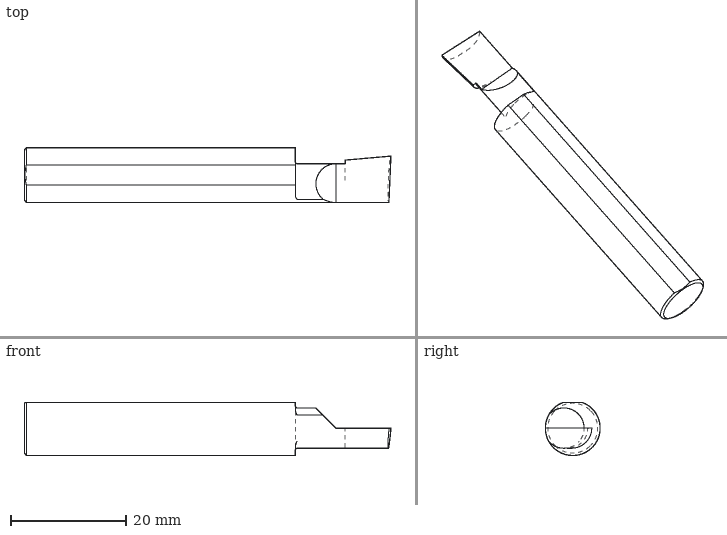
import cadquery as cq
import math

total_length = 63.5
shank_radius = 4.75
shank_length = 46.9
flat_height = 4.45
chamfer_length = 0.3
chamfer_depth = 0.45

neck_radius = 3.5
neck_center_y = -1.5
neck_fillet = 0.4

ramp_end_x = 54.0
ramp_angle = 45.0
blade_start_x = 55.55
blade_start_y = 2.6
tip_y = 3.3
end_clearance_angle = 2.5
end_relief_angle = 5.0


def cylinder(start_x, length, radius, center_y=0.0):
    return cq.Workplane("YZ", origin=(start_x, center_y, 0)).circle(radius).extrude(length)


def make_shank():
    chamfer_radius = shank_radius - chamfer_depth
    profile = [
        (0, 0),
        (0, chamfer_radius),
        (chamfer_length, shank_radius),
        (shank_length, shank_radius),
        (shank_length, 0),
    ]
    shank = cq.Workplane("XY").polyline(profile).close().revolve(360, (0, 0, 0), (1, 0, 0))
    above_flat = cq.Workplane("XY", origin=(0, 0, flat_height)).box(
        total_length, 2 * shank_radius, shank_radius, centered=(False, True, False)
    )
    return shank.cut(above_flat)


def make_neck():
    neck = cylinder(shank_length, total_length - shank_length, neck_radius, neck_center_y)
    flare = (
        cq.Workplane("XY", origin=(shank_length, neck_center_y, 0))
        .lineTo(0, neck_radius + neck_fillet)
        .radiusArc((neck_fillet, neck_radius), -neck_fillet)
        .lineTo(neck_fillet, 0)
        .close()
        .revolve(360, (0, 0, 0), (1, 0, 0))
    )
    return neck.union(flare)


def make_blade():
    start_center_y = blade_start_y - neck_radius
    tip_center_y = tip_y - neck_radius
    return (
        cq.Workplane("YZ", origin=(blade_start_x, start_center_y, 0))
        .circle(neck_radius)
        .workplane(offset=total_length - blade_start_x)
        .center(tip_center_y - start_center_y, 0)
        .circle(neck_radius)
        .loft(combine=True)
    )


def make_upper_cut():
    ramp_top_x = ramp_end_x - shank_radius / math.tan(math.radians(ramp_angle))
    profile = [
        (ramp_end_x, 0),
        (total_length, 0),
        (total_length, shank_radius),
        (ramp_top_x, shank_radius),
    ]
    return cq.Workplane("XZ").polyline(profile).close().extrude(shank_radius, both=True)


def make_end_cut():
    block_size = 4 * shank_radius
    block = cq.Workplane("XY").box(block_size, block_size, block_size, centered=(False, True, True))
    return (
        block.rotate((0, 0, 0), (0, 1, 0), end_relief_angle)
        .rotate((0, 0, 0), (0, 0, 1), -end_clearance_angle)
        .translate((total_length, tip_y, 0))
    )


cutting_end = make_neck().union(make_blade())
cutting_end = cutting_end.intersect(cylinder(shank_length, total_length - shank_length, shank_radius))
cutting_end = cutting_end.cut(make_upper_cut()).cut(make_end_cut())
result = make_shank().union(cutting_end)